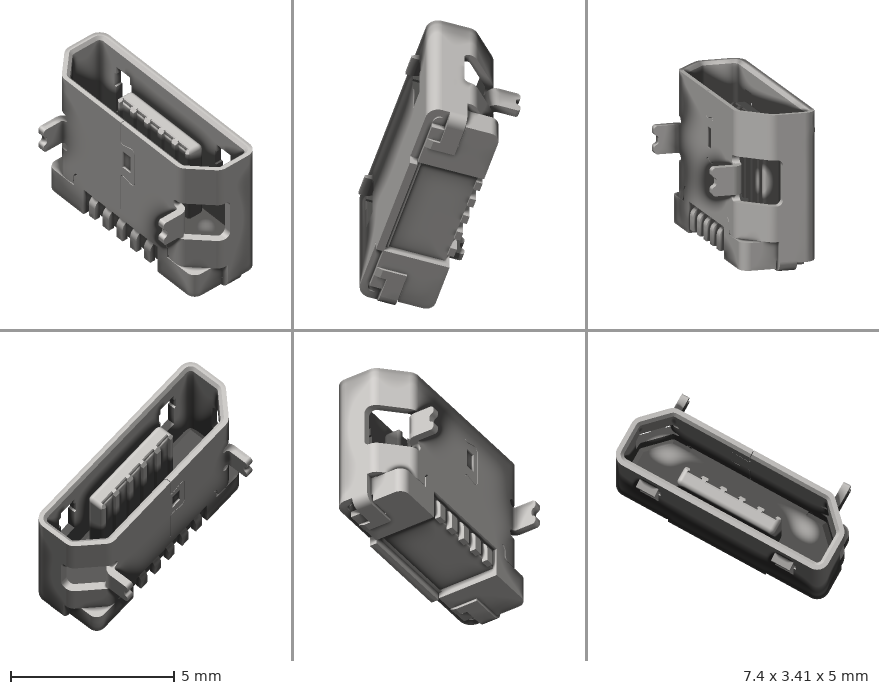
import cadquery as cq
import math


WIDTH = 7.4
DEPTH = 2.375
HEIGHT = 5.0
WALL = 0.25
CORNER_CUT = 0.91
CORNER_RADIUS = 0.4
MOUTH_CHAMFER = 0.1
REAR_BOTTOM = 0.295
FRONT_BOTTOM = 0.99

OPENING_BOTTOM = 2.12
OPENING_TOP = 3.575
OPENING_BACK = 1.26
OPENING_RADIUS = 0.19
RELIEF_RADIUS = 0.14
RELIEF_X = 2.635
LEG_HEIGHT = OPENING_TOP - OPENING_BOTTOM - 4 * RELIEF_RADIUS
LEG_REACH = 0.785
LEG_INNER_X = 2.71
LEG_BEND = 0.09
LEG_NOTCH_MOUTH = 0.36
LEG_NOTCH_ROOT = 0.22
LEG_NOTCH_DEPTH = 0.14
LEG_NOTCH_ROUND = 0.095
LEG_TIP_ROUND = 0.11

WINDOW_X = 2.37
WINDOW_WIDTH = 0.65
WINDOW_BOTTOM = 2.44
WINDOW_TOP = 4.26
WINDOW_WIDE_WIDTH = 0.81
WINDOW_WIDE_BOTTOM = 3.45
WINDOW_WIDE_TOP = 3.975
FLAP_BOTTOM = 4.12
FLAP_REACH = 0.25
FLAP_TIP_HEIGHT = 0.125
FLAP_ROOT_HEIGHT = 0.26

SEAM_GAP = 0.02
SEAM_BOTTOM = 1.48
LOCK_WIDTH = 0.65
LOCK_BOTTOM = 2.78
LOCK_TOP = 4.29
LOCK_SLANT = 0.13
LOCK_RADIUS = 0.14
LOCK_ROOT_RADIUS = 0.11
POCKET_X = 0.28
POCKET_Z = 3.575
POCKET_WIDTH = 0.36
POCKET_HEIGHT = 0.65
POCKET_DEPTH = 0.075

TAB_FRONT = 1.16
TAB_BACK = 1.72
TAB_END_X = 2.69
TAB_BEND = 0.35
TAB_CLEARANCE = 0.045
TAIL_WIDTH = 3.42

HOUSING_BOTTOM = 0.09
FLOOR = 1.45
FLOOR_CHAMFER = 0.17
FLOOR_FRONT_HALF = 2.04
HOUSING_CORNER = 0.31
BLOCK_RADIUS = 0.31
BLOCK_TOP = 0.97
RECESS_HALF = 1.75
RECESS_TOP = 1.095
RECESS_DEPTH = 0.14
CENTRE_BOTTOM = 0.39
LEDGE = 0.14
FOOT_WIDTH = 0.3
FOOT_BEVEL_HEIGHT = 0.06
FOOT_BEVEL_LENGTH = 0.19

SLIT_X = 2.19
SLIT_TOP = 1.495
SLIT_KNEE = 1.355
SLIT_GAP = 0.045
SLIT_FLARE = 0.19

PITCH = 0.65
CONTACTS = 5
TONGUE_HALF = 1.7
TONGUE_FRONT = 1.39
TONGUE_BACK = 1.9
TONGUE_TOP = 4.145
TONGUE_ROUND = 0.155
SLOT_BACK = 1.44
SLOT_BEVEL = 0.04
RIB_WIDTH = 0.24
RIB_REACH = 0.1
RIB_CHAMFER = 0.03
RIB_CHAMFER_LENGTH = 0.06
RIB_NECK_WIDTH = 0.15
CONTACT_TOP = 3.98
TAIL_PIN_WIDTH = 0.295
TAIL_PIN_REACH = 0.045
TAIL_PIN_THICKNESS = 0.2
TAIL_PIN_BOTTOM = 0.275
TAIL_PIN_TOP = 1.0
TAIL_PIN_BEND = 0.28

CONTACT_XS = [PITCH * (i - (CONTACTS - 1) / 2) for i in range(CONTACTS)]
INNER_BACK = DEPTH - WALL
INNER_HALF = WIDTH / 2 - WALL

MARGIN = 0.075
PICK = 0.01


def box(x_range, y_range, z_range):
    """Box between the given limits."""
    size = [high - low for low, high in (x_range, y_range, z_range)]
    corner = (x_range[0], y_range[0], z_range[0])
    return cq.Workplane("XY").box(*size, centered=False).translate(corner)


def across(points, half_width):
    """Extrude a (Y, Z) outline symmetrically along X."""
    return cq.Workplane("YZ").polyline(points).close().extrude(half_width, both=True)


def both_sides(solid):
    """A right-hand solid joined to its mirror image in X = 0."""
    return solid.union(solid.mirror("YZ"))


def corner_cut_prism(inset, bottom, top):
    """Upright prism of the shell's plan outline, offset inwards by inset."""
    half = WIDTH / 2 - inset
    front = inset
    back = DEPTH - inset
    cut = CORNER_CUT - inset * (2 - math.sqrt(2))
    points = [
        (-half, back),
        (-half, front + cut),
        (-half + cut, front),
        (half - cut, front),
        (half, front + cut),
        (half, back),
    ]
    plan = cq.Workplane("XY").workplane(offset=bottom)
    return plan.polyline(points).close().extrude(top - bottom)


def make_shell_tube():
    """Hollow shell with a chamfered mouth, its front and sides cut short at the bottom."""
    outer = corner_cut_prism(0, REAR_BOTTOM, HEIGHT).edges("|Z").fillet(CORNER_RADIUS)
    inner = corner_cut_prism(WALL, REAR_BOTTOM, HEIGHT).edges("|Z").fillet(CORNER_RADIUS - WALL)
    tube = outer.cut(inner)
    inner_rim = cq.selectors.BoxSelector(
        (-WIDTH / 2 + WALL / 2, WALL / 2, HEIGHT - PICK),
        (WIDTH / 2 - WALL / 2, DEPTH - WALL / 2, HEIGHT + PICK),
        boundingbox=True,
    )
    tube = tube.edges(inner_rim).chamfer(MOUTH_CHAMFER)
    tube = tube.cut(box((-WIDTH, WIDTH), (-MARGIN, TAB_FRONT), (0, FRONT_BOTTOM)))
    return tube.cut(box((-WIDTH, WIDTH), (TAB_FRONT, TAB_BACK), (0, TAB_BEND)))


def make_corner_opening():
    """Right-hand opening with a relief hole above and below the leg."""
    opening = box(
        (RELIEF_X, WIDTH), (-MARGIN, OPENING_BACK), (OPENING_BOTTOM, OPENING_TOP)
    )
    opening = opening.edges("|X and >Y").fillet(OPENING_RADIUS)
    for z in (OPENING_BOTTOM + RELIEF_RADIUS, OPENING_TOP - RELIEF_RADIUS):
        relief = cq.Workplane("XZ").center(RELIEF_X, z).circle(RELIEF_RADIUS)
        opening = opening.union(relief.extrude(WALL + MARGIN, both=True))
    return opening


def make_leg():
    """Right-hand leg: the front wall bent through 90 degrees, with a notched tip."""
    bend_x = LEG_INNER_X - LEG_BEND
    outer_radius = LEG_BEND + WALL
    outer_x = bend_x + outer_radius
    diagonal = math.sqrt(0.5)
    bottom = (OPENING_BOTTOM + OPENING_TOP - LEG_HEIGHT) / 2
    plan = (
        cq.Workplane("XY")
        .workplane(offset=bottom)
        .moveTo(bend_x, 0)
        .threePointArc(
            (bend_x + LEG_BEND * diagonal, LEG_BEND * (diagonal - 1)),
            (LEG_INNER_X, -LEG_BEND),
        )
        .lineTo(LEG_INNER_X, -LEG_REACH)
        .lineTo(outer_x, -LEG_REACH)
        .lineTo(outer_x, -LEG_BEND)
        .threePointArc(
            (bend_x + outer_radius * diagonal, outer_radius * diagonal - LEG_BEND),
            (bend_x, WALL),
        )
        .close()
    )
    leg = plan.extrude(LEG_HEIGHT)
    notch_z = bottom + LEG_HEIGHT / 2
    notch_bottom_y = -LEG_REACH + LEG_NOTCH_DEPTH
    notch_outline = [
        (-LEG_REACH, notch_z - LEG_NOTCH_MOUTH / 2),
        (notch_bottom_y, notch_z - LEG_NOTCH_ROOT / 2),
        (notch_bottom_y, notch_z + LEG_NOTCH_ROOT / 2),
        (-LEG_REACH, notch_z + LEG_NOTCH_MOUTH / 2),
    ]
    notch = across(notch_outline, WIDTH).edges("|X and >Y").fillet(LEG_NOTCH_ROUND)
    leg = leg.faces("<Y").edges("|X").fillet(LEG_TIP_ROUND).cut(notch)
    notch_mouth = cq.selectors.BoxSelector(
        (LEG_INNER_X - MARGIN, -LEG_REACH - PICK, notch_z - LEG_NOTCH_MOUTH / 2 - PICK),
        (outer_x + MARGIN, -LEG_REACH + PICK, notch_z + LEG_NOTCH_MOUTH / 2 + PICK),
    )
    leg = leg.edges("|X").edges(notch_mouth).fillet(LEG_NOTCH_ROUND)
    anchor = box((RELIEF_X - WALL, bend_x), (0, WALL), (bottom, bottom + LEG_HEIGHT))
    return leg.union(anchor)


def make_window():
    """Right-hand stepped window through the back wall."""
    y_range = (INNER_BACK - MARGIN, DEPTH + MARGIN)
    slot_half = WINDOW_WIDTH / 2
    wide_half = WINDOW_WIDE_WIDTH / 2
    slot = box((WINDOW_X - slot_half, WINDOW_X + slot_half), y_range, (WINDOW_BOTTOM, WINDOW_TOP))
    wide = box(
        (WINDOW_X - wide_half, WINDOW_X + wide_half), y_range, (WINDOW_WIDE_BOTTOM, WINDOW_WIDE_TOP)
    )
    return slot.union(wide)


def make_flap():
    """Right-hand latch flap standing out of the back wall above the window."""
    points = [
        (INNER_BACK, WINDOW_TOP),
        (DEPTH, FLAP_BOTTOM),
        (DEPTH + FLAP_REACH, FLAP_BOTTOM),
        (DEPTH + FLAP_REACH, FLAP_BOTTOM + FLAP_TIP_HEIGHT),
        (DEPTH, FLAP_BOTTOM + FLAP_ROOT_HEIGHT),
        (INNER_BACK, FLAP_BOTTOM + FLAP_ROOT_HEIGHT),
    ]
    return across(points, WINDOW_WIDTH / 2).translate((WINDOW_X, 0, 0))


def make_lock_plate():
    """Left half of the front wall with its dovetail tab."""
    points = [
        (-LOCK_RADIUS * 2, LOCK_BOTTOM + LOCK_SLANT),
        (LOCK_RADIUS, LOCK_BOTTOM + LOCK_SLANT),
        (LOCK_WIDTH, LOCK_BOTTOM),
        (LOCK_WIDTH, LOCK_TOP),
        (LOCK_RADIUS, LOCK_TOP - LOCK_SLANT),
        (-LOCK_RADIUS * 2, LOCK_TOP - LOCK_SLANT),
    ]
    tab = cq.Workplane("XZ").polyline(points).close().extrude(-WALL)
    tab = tab.edges("|Y and >X").fillet(LOCK_RADIUS)
    left_plate = box((-2 * LOCK_WIDTH, 0), (0, WALL), (SEAM_BOTTOM, HEIGHT))
    tab = left_plate.union(tab)
    roots = cq.selectors.BoxSelector(
        (-PICK, -PICK, LOCK_BOTTOM), (PICK, WALL + PICK, LOCK_TOP)
    )
    return tab.edges("|Y").edges(roots).fillet(LOCK_ROOT_RADIUS)


def make_seam():
    """Thin gap running down the front wall around the dovetail tab."""
    plate = make_lock_plate()
    outline = plate.faces("<Y").wires().val()
    grown = cq.Workplane("XZ").add(outline).toPending().offset2D(SEAM_GAP).extrude(-WALL)
    return grown.cut(plate).intersect(
        box((-SEAM_GAP, WIDTH), (-MARGIN, WALL + MARGIN), (SEAM_BOTTOM, HEIGHT + MARGIN))
    )


def make_pocket():
    """Shallow rectangular pocket in the dovetail tab."""
    return box(
        (POCKET_X - POCKET_WIDTH / 2, POCKET_X + POCKET_WIDTH / 2),
        (0, POCKET_DEPTH),
        (POCKET_Z - POCKET_HEIGHT / 2, POCKET_Z + POCKET_HEIGHT / 2),
    )


def make_bottom_tab():
    """Right-hand tab: the side wall carried down and bent inwards."""
    outer = box((TAB_END_X, WIDTH / 2), (TAB_FRONT, TAB_BACK), (0, FRONT_BOTTOM))
    outer = outer.edges("|Y and >X and <Z").fillet(TAB_BEND)
    inner = box((TAB_END_X, INNER_HALF), (TAB_FRONT, TAB_BACK), (WALL, FRONT_BOTTOM))
    return outer.cut(inner.edges("|Y and >X and <Z").fillet(TAB_BEND - WALL))


def make_tail():
    """Middle of the back wall carried down to the lowest level."""
    half = TAIL_WIDTH / 2
    return box((-half, half), (INNER_BACK, DEPTH), (0, CENTRE_BOTTOM))


def make_shell():
    shell = make_shell_tube()
    shell = shell.cut(both_sides(make_corner_opening()))
    shell = shell.union(both_sides(make_leg()))
    shell = shell.cut(both_sides(make_window()))
    shell = shell.union(both_sides(make_flap()))
    shell = shell.cut(make_seam()).cut(make_pocket())
    return shell.union(both_sides(make_bottom_tab()))


def make_floor_block():
    """Housing body filling the shell's lower end, its top edge bevelled."""
    body = corner_cut_prism(WALL, HOUSING_BOTTOM, FLOOR).faces(">Z").chamfer(FLOOR_CHAMFER)
    front_fill = box(
        (-FLOOR_FRONT_HALF, FLOOR_FRONT_HALF),
        (WALL, WALL + 2 * FLOOR_CHAMFER),
        (FLOOR - FLOOR_CHAMFER, FLOOR),
    )
    rounded = corner_cut_prism(WALL, 0, FLOOR).edges("|Z and >Y").fillet(HOUSING_CORNER)
    return body.union(front_fill).intersect(rounded)


def make_front_block():
    """Wide lower front of the housing, flush with the shell's front face."""
    block = box((-INNER_HALF, INNER_HALF), (0, TAB_FRONT), (HOUSING_BOTTOM, BLOCK_TOP))
    block = block.edges("|Z and <Y").fillet(BLOCK_RADIUS)
    bridge = box((-SLIT_X, SLIT_X), (0, WALL), (BLOCK_TOP, FRONT_BOTTOM))
    return block.union(bridge)


def make_slit():
    """Right-hand relief slit with a 45 degree upper end and a rounded lower flare."""
    knee = SLIT_TOP - SLIT_KNEE
    outer_x = SLIT_X + SLIT_GAP
    flare_top = FRONT_BOTTOM + SLIT_FLARE
    arc_mid = SLIT_FLARE * (1 - math.sqrt(0.5))
    outline = (
        cq.Workplane("XZ")
        .moveTo(SLIT_X, BLOCK_TOP)
        .lineTo(SLIT_X, SLIT_KNEE)
        .lineTo(SLIT_X - knee, SLIT_TOP)
        .lineTo(SLIT_X - knee + 2 * SLIT_GAP, SLIT_TOP)
        .lineTo(outer_x, SLIT_KNEE)
        .lineTo(outer_x, flare_top)
        .threePointArc(
            (outer_x + arc_mid, FRONT_BOTTOM + arc_mid), (outer_x + SLIT_FLARE, FRONT_BOTTOM)
        )
        .lineTo(outer_x + SLIT_FLARE, BLOCK_TOP)
        .close()
    )
    return outline.extrude(-WALL)


def make_ledge():
    """Sloping ledge joining the raised middle of the housing to the shell's tail."""
    points = [
        (INNER_BACK, CENTRE_BOTTOM),
        (INNER_BACK - LEDGE, CENTRE_BOTTOM - LEDGE),
        (INNER_BACK, CENTRE_BOTTOM - LEDGE),
    ]
    return across(points, TAIL_WIDTH / 2)


def make_foot():
    """Right-hand standing foot beside the bent tab, its rear lower edge bevelled."""
    foot_x = TAB_END_X - FOOT_WIDTH
    foot = box((foot_x, TAB_END_X), (TAB_FRONT, INNER_BACK), (0, HOUSING_BOTTOM))
    return foot.edges("|X and >Y and <Z").chamfer(FOOT_BEVEL_HEIGHT, FOOT_BEVEL_LENGTH)


def make_tongue():
    """Contact tongue: rounded top and back, with ribs left between the contact slots."""
    tip = TONGUE_FRONT - RIB_REACH
    x_range = (-TONGUE_HALF, TONGUE_HALF)
    z_range = (FLOOR - MARGIN, TONGUE_TOP)
    tongue = box(x_range, (tip, TONGUE_BACK), z_range)
    tongue = tongue.edges("|Z and >Y").fillet(TONGUE_ROUND)
    tongue = tongue.faces(">Z").edges("not <Y").fillet(TONGUE_ROUND)
    outline = box(x_range, (tip, TONGUE_BACK), z_range)
    tongue = tongue.intersect(outline.edges("|Z and <Y").fillet(RIB_REACH))
    rib_bevel = [(TONGUE_FRONT, TONGUE_TOP), (tip, TONGUE_TOP), (tip, TONGUE_TOP - RIB_REACH)]
    tongue = tongue.cut(across(rib_bevel, TONGUE_HALF))
    for x in CONTACT_XS:
        tongue = tongue.cut(make_contact_slot(x)).union(make_contact_face(x))
    return tongue


def make_contact_slot(x):
    """T-shaped slot for one contact, flared at its mouth and bevelled at its upper end."""
    tip = TONGUE_FRONT - RIB_REACH
    flare = tip + RIB_CHAMFER_LENGTH
    half = (PITCH - RIB_WIDTH) / 2
    mouth_half = half + RIB_CHAMFER
    neck_half = (PITCH - RIB_NECK_WIDTH) / 2
    right = [
        (mouth_half, tip),
        (half, flare),
        (half, TONGUE_FRONT),
        (neck_half, TONGUE_FRONT),
        (neck_half, SLOT_BACK),
    ]
    left = [(-edge_x, y) for edge_x, y in reversed(right)]
    plan = cq.Workplane("XY").workplane(offset=FLOOR).polyline(right + left).close()
    bevel = [
        (SLOT_BACK, TONGUE_TOP),
        (SLOT_BACK + SLOT_BEVEL, TONGUE_TOP),
        (SLOT_BACK, TONGUE_TOP - SLOT_BEVEL),
    ]
    slot = plan.extrude(HEIGHT - FLOOR).union(across(bevel, neck_half))
    return slot.translate((x, 0, 0))


def make_contact_face(x):
    """Contact filling the wide part of its slot, rounded over at its upper end."""
    half = (PITCH - RIB_NECK_WIDTH) / 2
    face = box((x - half, x + half), (TONGUE_FRONT, SLOT_BACK + SLOT_BEVEL), (FLOOR - MARGIN, CONTACT_TOP))
    return face.edges("|X and <Y and >Z").fillet(SLOT_BACK - TONGUE_FRONT)


def make_tail_pin(x):
    """Solder end of a contact, its upper front edge rounded into the housing."""
    pin = box(
        (x - TAIL_PIN_WIDTH / 2, x + TAIL_PIN_WIDTH / 2),
        (-TAIL_PIN_REACH, RECESS_DEPTH + TAIL_PIN_BEND),
        (TAIL_PIN_BOTTOM, TAIL_PIN_TOP),
    )
    pin = pin.edges("|X and <Y and >Z").fillet(TAIL_PIN_BEND)
    under = box(
        (x - TAIL_PIN_WIDTH, x + TAIL_PIN_WIDTH),
        (TAIL_PIN_THICKNESS - TAIL_PIN_REACH, DEPTH),
        (0, CENTRE_BOTTOM),
    )
    return pin.cut(under)


def make_part():
    housing = make_floor_block().union(make_front_block())
    clearance = box(
        (TAB_END_X, WIDTH), (TAB_FRONT - TAB_CLEARANCE, TAB_BACK), (0, TAB_BEND)
    )
    rear_step = box(
        (INNER_HALF - HOUSING_CORNER, WIDTH), (TAB_BACK, DEPTH), (0, REAR_BOTTOM)
    )
    housing = housing.cut(both_sides(clearance)).cut(both_sides(rear_step))
    part = make_shell().union(housing)
    recess = box((-RECESS_HALF, RECESS_HALF), (-MARGIN, RECESS_DEPTH), (0, RECESS_TOP))
    underside = box((-RECESS_HALF, RECESS_HALF), (-MARGIN, DEPTH + MARGIN), (0, CENTRE_BOTTOM))
    part = part.cut(recess).cut(underside).cut(both_sides(make_slit()))
    part = part.union(make_tail()).union(make_ledge()).union(both_sides(make_foot()))
    part = part.union(make_tongue())
    for x in CONTACT_XS:
        part = part.union(make_tail_pin(x))
    return part


result = make_part()